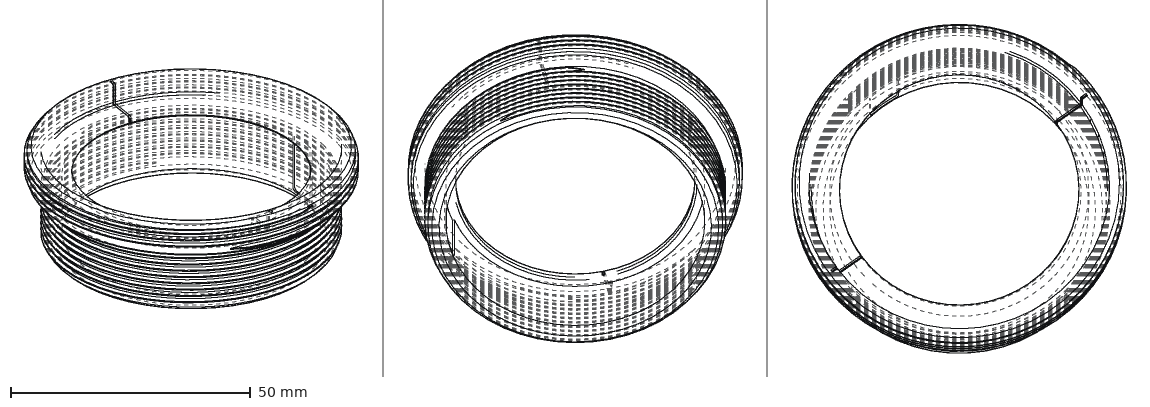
import cadquery as cq
import math

total_height = 22.1
flange_height = 7.2
flange_bottom_z = total_height - flange_height

flange_core_radius = 68.5 / 2
barrel_core_radius = 61.5 / 2
flange_top_chamfer = 0.85
flange_bottom_chamfer = 0.5
barrel_bottom_chamfer = 0.85

pitch = 1.5
crest_width = pitch / 6
flank_angle = math.radians(30)
thread_root_overlap = 0.1
flange_thread_height = 0.615
barrel_thread_height = 0.65
flange_thread_start_z = 16.2
flange_thread_turns = 3
flange_thread_start_angle = 0
barrel_thread_start_z = 1.76
barrel_thread_turns = 8
barrel_thread_start_angle = 180
overrun_angle = 10.5
lead_angle = 6.5
lead_sections = 4

recess_radius = 31.35
recess_depth = 4.8
recess_floor_z = total_height - recess_depth
edge_radius = 0.45
round_mid = edge_radius * (1 - math.sqrt(0.5))

lip_radius = 24.95
lip_thickness = 1.9
lip_bottom_z = recess_floor_z - lip_thickness
bore_radius = 27.0
bore_flare_width = 1.4
bore_flare_height = 1.85

groove_width = 0.55
groove_depth = groove_width / 2
groove_outer_radius = 32.7

pocket_width = 7.1
pocket_depth = 0.4
pocket_bottom_z = 2.35
pocket_corner_radius = 1.0


def trace_recess(outline):
    """Continue an (X, Z) outline from the rim through the recess and the lip to the lip's bottom corner."""
    return (
        outline
        .lineTo(recess_radius + edge_radius, total_height)
        .threePointArc(
            (recess_radius + round_mid, total_height - round_mid),
            (recess_radius, total_height - edge_radius),
        )
        .lineTo(recess_radius, recess_floor_z + edge_radius)
        .threePointArc(
            (recess_radius - round_mid, recess_floor_z + round_mid),
            (recess_radius - edge_radius, recess_floor_z),
        )
        .lineTo(lip_radius + edge_radius, recess_floor_z)
        .threePointArc(
            (lip_radius + round_mid, recess_floor_z - round_mid),
            (lip_radius, recess_floor_z - edge_radius),
        )
        .lineTo(lip_radius, lip_bottom_z + edge_radius)
    )


def make_body():
    """Flanged ring with its recess, lip and flared bore, revolved about Z."""
    outside = (
        cq.Workplane("XZ")
        .moveTo(barrel_core_radius - barrel_bottom_chamfer, 0)
        .lineTo(barrel_core_radius, barrel_bottom_chamfer)
        .lineTo(barrel_core_radius, flange_bottom_z)
        .lineTo(flange_core_radius - flange_bottom_chamfer, flange_bottom_z)
        .lineTo(flange_core_radius, flange_bottom_z + flange_bottom_chamfer)
        .lineTo(flange_core_radius, total_height - flange_top_chamfer)
        .lineTo(flange_core_radius - flange_top_chamfer, total_height)
    )
    outline = (
        trace_recess(outside)
        .threePointArc(
            (lip_radius + round_mid, lip_bottom_z + round_mid),
            (lip_radius + edge_radius, lip_bottom_z),
        )
        .lineTo(bore_radius, lip_bottom_z)
        .lineTo(bore_radius, bore_flare_height)
        .lineTo(bore_radius + bore_flare_width, 0)
        .close()
    )
    return outline.revolve(360, (0, 0, 0), (0, 1, 0))


def make_groove():
    """V-shaped cutter on the +X side, swept along the surface from the rim to the lip."""
    path = trace_recess(cq.Workplane("XZ").moveTo(groove_outer_radius, total_height))
    return (
        cq.Workplane("YZ", origin=(groove_outer_radius, 0, total_height))
        .polyline([(-groove_width / 2, 0), (groove_width / 2, 0), (0, -groove_depth)])
        .close()
        .sweep(path)
    )


def thread_section(core_radius, height, angle, z):
    """Trapezoid thread section, as a wire in the radial plane at the given angle."""
    root_radius = core_radius - thread_root_overlap
    crest_radius = core_radius + height
    crest_half = crest_width / 2
    root_half = crest_half + (crest_radius - root_radius) * math.tan(flank_angle)
    corners = [
        (root_radius, -root_half),
        (crest_radius, -crest_half),
        (crest_radius, crest_half),
        (root_radius, root_half),
    ]
    section = cq.Workplane("XZ").polyline(corners).close().val()
    return section.rotate(cq.Vector(0, 0, 0), cq.Vector(0, 0, 1), angle).translate(cq.Vector(0, 0, z))


def thread_lead(core_radius, height, angle, z, direction):
    """Tapered thread end that leaves the full thread and sinks into the core."""
    sections = []
    for i in range(lead_sections + 1):
        share = i / lead_sections
        swing = direction * lead_angle * share
        section_z = z + pitch * swing / 360
        sunk_radius = core_radius - height * share
        sections.append(thread_section(sunk_radius, height, angle + swing, section_z))
    return cq.Solid.makeLoft(sections)


def make_thread(core_radius, height, turns, start_z, start_angle):
    """Helical ridge with a faded lead at both ends, as a list of solids."""
    overrun_rise = pitch * overrun_angle / 360
    rise = turns * pitch + 2 * overrun_rise
    first_z = start_z - overrun_rise
    first_angle = start_angle - overrun_angle
    last_angle = start_angle + overrun_angle
    helix = cq.Wire.makeHelix(pitch, rise, core_radius)
    section = thread_section(core_radius, height, 0, 0)
    ridge = cq.Solid.sweep(section, [], helix, True, True)
    ridge = ridge.rotate(cq.Vector(0, 0, 0), cq.Vector(0, 0, 1), first_angle).translate(cq.Vector(0, 0, first_z))
    lead_in = thread_lead(core_radius, height, first_angle, first_z, -1)
    lead_out = thread_lead(core_radius, height, last_angle, first_z + rise, 1)
    return [ridge, lead_in, lead_out]


def make_label_pocket():
    """Pocket with a curved floor and rounded lower corners, open up to the lip."""
    pocket_height = lip_bottom_z - pocket_bottom_z
    window = (
        cq.Workplane("XY")
        .box(pocket_width, bore_radius + pocket_depth, pocket_height, centered=(True, False, False))
        .edges("|Y and <Z")
        .fillet(pocket_corner_radius)
        .translate((0, 0, pocket_bottom_z))
    )
    floor = cq.Workplane("XY").circle(bore_radius + pocket_depth).extrude(total_height)
    return window.intersect(floor)


body = make_body().cut(make_label_pocket())
for groove_angle in (0, 180):
    body = body.cut(make_groove().rotate((0, 0, 0), (0, 0, 1), groove_angle))

flange_thread = make_thread(
    flange_core_radius,
    flange_thread_height,
    flange_thread_turns,
    flange_thread_start_z,
    flange_thread_start_angle,
)
barrel_thread = make_thread(
    barrel_core_radius,
    barrel_thread_height,
    barrel_thread_turns,
    barrel_thread_start_z,
    barrel_thread_start_angle,
)
result = cq.Workplane(obj=body.val().fuse(*flange_thread, *barrel_thread))